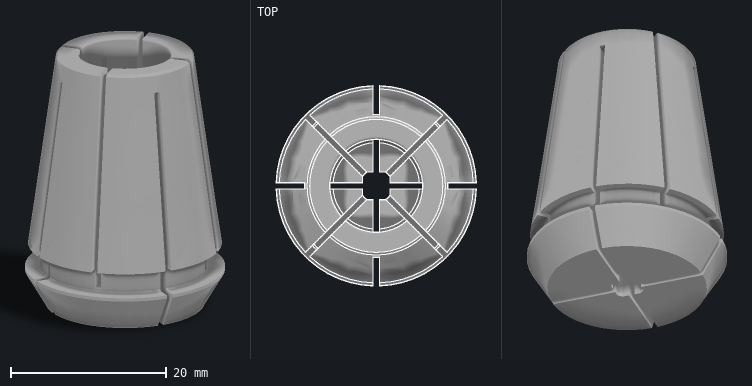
import cadquery as cq
import math

height = 34.0
flange_radius = 12.92
flange_rim_bottom = 4.52
flange_top = 4.95
base_radius = 10.3
base_rim = 0.07

groove_radius = 11.0
groove_fillet = 0.27
taper_bottom = 8.1

taper_bottom_radius = 12.5
taper_half_angle = 8.0
top_chamfer = 0.35

bore_radius = 6.0
bore_mouth_fillet = 0.35
bore_floor = 17.0
bore_floor_radius = 5.58
bore_floor_chamfer = bore_radius - bore_floor_radius
square_side = 3.55
square_corner_radius = 2.15

slot_width = 0.78
slot_length = 34.0
lower_slot_top = 31.45
upper_slot_floor = 5.45

taper_slope = math.tan(math.radians(taper_half_angle))


def taper_radius(z):
    return taper_bottom_radius - (z - taper_bottom) * taper_slope


def body():
    """Revolved collet body with flange, groove and taper."""
    chamfer_start = height - top_chamfer
    chamfer_radius = taper_radius(chamfer_start)
    profile = (
        cq.Workplane("XZ")
        .polyline([
            (0, 0),
            (base_radius, 0),
            (base_radius, base_rim),
            (flange_radius, flange_rim_bottom),
            (flange_radius, flange_top),
            (groove_radius + groove_fillet, flange_top),
        ])
        .radiusArc((groove_radius, flange_top + groove_fillet), groove_fillet)
        .lineTo(groove_radius, taper_bottom - groove_fillet)
        .radiusArc((groove_radius + groove_fillet, taper_bottom), groove_fillet)
        .lineTo(taper_bottom_radius, taper_bottom)
        .lineTo(chamfer_radius, chamfer_start)
        .lineTo(chamfer_radius - top_chamfer, height)
        .lineTo(0, height)
        .close()
    )
    return profile.revolve(360, (0, 0, 0), (0, 1, 0))


def bore():
    """Round bore from the top, rounded at its mouth and chamfered at its floor."""
    profile = (
        cq.Workplane("XZ")
        .moveTo(0, bore_floor)
        .lineTo(bore_floor_radius, bore_floor)
        .lineTo(bore_radius, bore_floor + bore_floor_chamfer)
        .lineTo(bore_radius, height - bore_mouth_fillet)
        .radiusArc((bore_radius + bore_mouth_fillet, height), bore_mouth_fillet)
        .lineTo(0, height)
        .close()
    )
    return profile.revolve(360, (0, 0, 0), (0, 1, 0))


def square_hole():
    """Square through hole with its corners trimmed by a cylinder."""
    square = cq.Workplane("XY").rect(square_side, square_side).extrude(height)
    return square.intersect(cq.Workplane("XY").circle(square_corner_radius).extrude(height))


def cross_slots(bottom, top, angle):
    """Two full-width slots at right angles, turned about the axis."""
    slots = cq.Workplane("XY").workplane(offset=bottom)
    first = slots.rect(slot_length, slot_width).extrude(top - bottom)
    second = slots.rect(slot_width, slot_length).extrude(top - bottom)
    return first.union(second).rotate((0, 0, 0), (0, 0, 1), angle)


result = (
    body()
    .cut(bore())
    .cut(square_hole())
    .cut(cross_slots(0, lower_slot_top, 0))
    .cut(cross_slots(upper_slot_floor, height, 45))
)